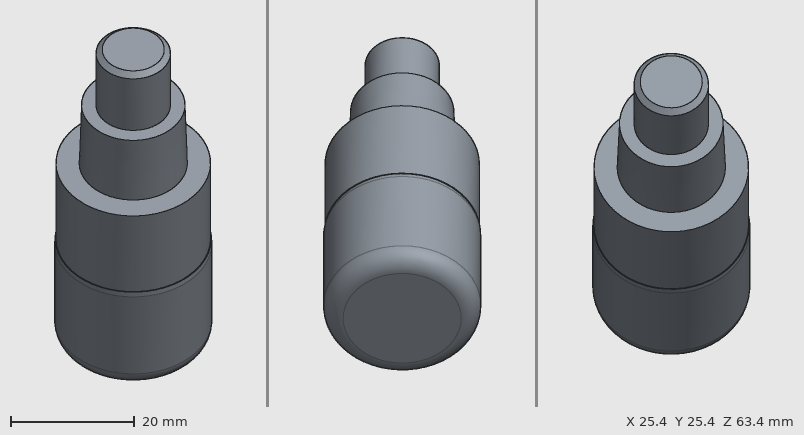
import cadquery as cq

total_height = 63.35
cap_rim_start = 20.35
cap_height = 21.3
barrel_top = 38.15
taper_top = 51.05

cap_diameter = 25.4
cap_rim_diameter = 25.2
barrel_diameter = 24.95
taper_base_diameter = 17.5
taper_top_diameter = 16.7
pin_diameter = 12.05

cap_edge_radius = 3.15
pin_chamfer_height = 0.8
pin_chamfer_width = 1.0


def revolve_profile(profile):
    """Revolve a closed radius-height wire about the Z axis."""
    axis_start = (0, 0)
    axis_end = (0, 1)
    return profile.revolve(360, axis_start, axis_end)


def make_cap():
    """Solid cap with a rounded lower edge and a slightly tapered upper rim."""
    outline = [
        (0, 0),
        (cap_diameter / 2, 0),
        (cap_diameter / 2, cap_rim_start),
        (cap_rim_diameter / 2, cap_height),
        (0, cap_height),
    ]
    blank = revolve_profile(cq.Workplane("XZ").polyline(outline).close())
    return blank.faces("<Z").edges().fillet(cap_edge_radius)


def make_stem():
    """Stem standing on the cap: barrel, tapered neck and chamfered pin."""
    outline = [
        (0, cap_height),
        (barrel_diameter / 2, cap_height),
        (barrel_diameter / 2, barrel_top),
        (taper_base_diameter / 2, barrel_top),
        (taper_top_diameter / 2, taper_top),
        (pin_diameter / 2, taper_top),
        (pin_diameter / 2, total_height - pin_chamfer_height),
        (pin_diameter / 2 - pin_chamfer_width, total_height),
        (0, total_height),
    ]
    return revolve_profile(cq.Workplane("XZ").polyline(outline).close())


cap = make_cap()
stem = make_stem()

result = cq.Compound.makeCompound([cap.val(), stem.val()])